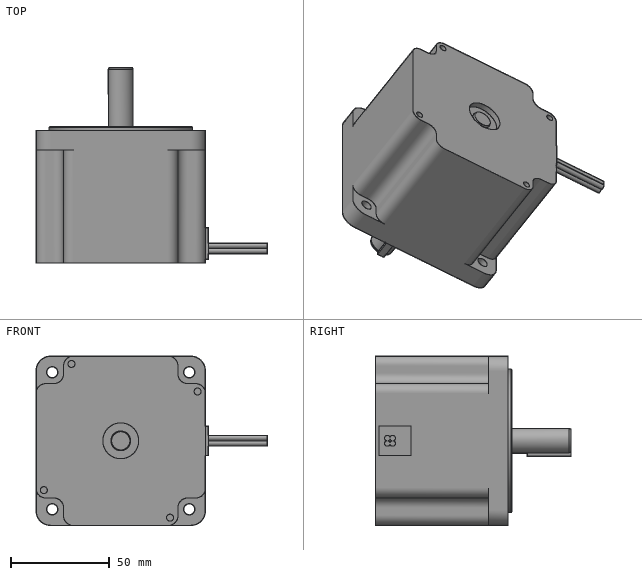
import cadquery as cq

width = 86.0
half_width = width / 2
body_length = 67.3
flange_thickness = 10.0
flange_corner_radius = 7.5
notch_size = 14.0
notch_radius = 4.9
overlap = 1.2

mount_hole_pitch = 69.6
mount_hole_diameter = 5.5
screw_hole_diameter = 3.5
screw_hole_depth = 3.0
screw_far_offset = 39.0
screw_near_offset = 25.0

pilot_diameter = 73.0
pilot_height = 2.0
pilot_chamfer = 0.5

shaft_diameter = 12.7
shaft_length = 32.0
shaft_chamfer_length = 1.0
shaft_chamfer_depth = 0.4

key_width = 3.8
key_length = 22.3
key_drop = 7.9

recess_diameter = 18.2
recess_depth = 3.0
stub_diameter = 10.0

pad_thickness = 1.5
pad_height = 15.0
pad_rear = 1.9
pad_front = 18.0
wire_diameter = 2.8
wire_pitch = 2.7
bundle_y = 7.4
overall_width = 117.5
wire_end_x = overall_width - half_width


def cylinder_along_y(diameter, start, end, x=0, z=0):
    circle = cq.Workplane("XZ", origin=(0, start, 0)).center(x, z).circle(diameter / 2)
    return circle.extrude(start - end)


def make_body():
    flange = cq.Workplane("XY").box(width, flange_thickness, width)
    flange = flange.edges("|Y").fillet(flange_corner_radius)
    flange = flange.translate((0, body_length - flange_thickness / 2, 0))

    rear_length = body_length - flange_thickness + overlap
    rear = cq.Workplane("XY").box(width, rear_length, width)
    corner_centre = half_width - notch_size / 2
    for x_side in (-1, 1):
        for z_side in (-1, 1):
            notch = cq.Workplane("XY").box(notch_size, rear_length, notch_size)
            notch = notch.translate((x_side * corner_centre, 0, z_side * corner_centre))
            rear = rear.cut(notch)
    rear = rear.edges("|Y").fillet(notch_radius)
    rear = rear.translate((0, rear_length / 2, 0))
    return flange.union(rear)


def cut_mount_holes(body):
    offset = mount_hole_pitch / 2
    for x in (-offset, offset):
        for z in (-offset, offset):
            body = body.cut(cylinder_along_y(mount_hole_diameter, 0, body_length, x, z))
    return body


def cut_screw_holes(body):
    x, z = screw_far_offset, screw_near_offset
    for _ in range(4):
        body = body.cut(cylinder_along_y(screw_hole_diameter, 0, screw_hole_depth, x, z))
        x, z = -z, x
    return body


def make_pilot():
    pilot = cylinder_along_y(pilot_diameter, body_length - overlap, body_length + pilot_height)
    return pilot.faces(">Y").chamfer(pilot_chamfer)


def make_shaft_piece(diameter, length):
    """Solid of revolution about Y from Y = 0 to a chamfered end at Y = length."""
    radius = diameter / 2
    profile = [
        (0, 0),
        (radius, 0),
        (radius, length - shaft_chamfer_length),
        (radius - shaft_chamfer_depth, length),
        (0, length),
    ]
    return cq.Workplane("XY").polyline(profile).close().revolve(360, (0, 0), (0, 1))


def make_shaft():
    shaft = make_shaft_piece(shaft_diameter, shaft_length + overlap)
    return shaft.translate((0, body_length - overlap, 0))


def make_key():
    """Key running out at the shaft tip, with a half-round inner end."""
    tip = body_length + shaft_length
    inner_end = tip - key_length
    half_key = key_width / 2
    outline = (
        cq.Workplane("XY", origin=(0, 0, -key_drop))
        .moveTo(-half_key, tip)
        .lineTo(-half_key, inner_end + half_key)
        .threePointArc((0, inner_end), (half_key, inner_end + half_key))
        .lineTo(half_key, tip)
        .close()
    )
    return outline.extrude(key_drop / 2)


def cut_bearing_recess(body):
    """Rear recess; the shaft stub in it stands up by the length of its chamfer."""
    body = body.cut(cylinder_along_y(recess_diameter, 0, recess_depth))
    stub = make_shaft_piece(stub_diameter, shaft_chamfer_length + overlap)
    stub = stub.rotate((0, 0, 0), (0, 0, 1), 180)
    return body.union(stub.translate((0, recess_depth + overlap, 0)))


def make_cable_outlet():
    pad = cq.Workplane("XY").box(
        pad_thickness + overlap, pad_front - pad_rear, pad_height, centered=(False, False, True)
    )
    outlet = pad.translate((half_width - overlap, pad_rear, 0))

    wire_length = wire_end_x - half_width
    half_pitch = wire_pitch / 2
    for y in (bundle_y - half_pitch, bundle_y + half_pitch):
        for z in (-half_pitch, half_pitch):
            wire = cq.Workplane("YZ", origin=(half_width, y, z)).circle(wire_diameter / 2)
            outlet = outlet.union(wire.extrude(wire_length))
    return outlet


motor = make_body()
motor = cut_mount_holes(motor)
motor = cut_screw_holes(motor)
motor = cut_bearing_recess(motor)
motor = motor.union(make_pilot())
motor = motor.union(make_shaft())
motor = motor.union(make_key())
motor = motor.union(make_cable_outlet())

result = motor